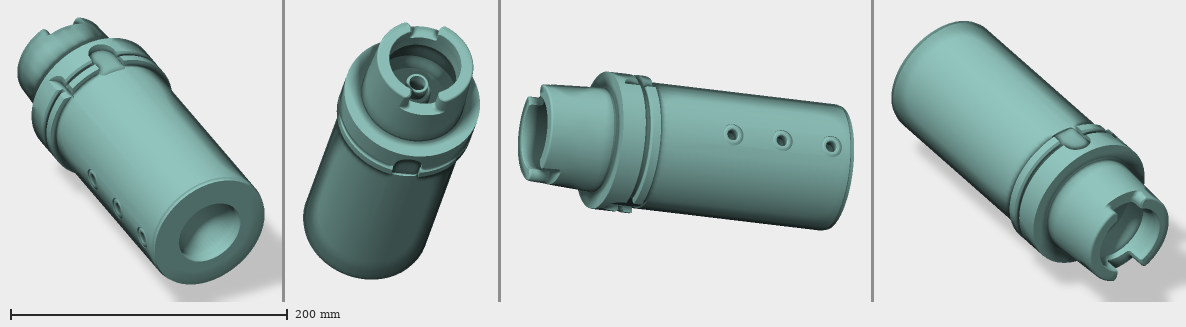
import cadquery as cq
import math

taper_length = 50.0
body_end = 180.0
taper_gauge_d = 75.0
taper_gauge_x = -10.0
taper_rate = 1.0 / 10.0
tip_round = 1.5
flange_d = 100.0
flange_width = 29.0
body_d = 92.0

relief_d = 75.3
relief_start = -2.6
relief_bevel = 0.6
relief_cone_length = 0.7
relief_rim_d = 79.0

grip_center = 20.1
grip_top_width = 5.8
grip_bottom_width = 3.5
grip_bevel_depth = 1.8

neck_d = 90.6
neck_end = 32.3
end_rim_length = 2.3
end_bevel_depth = 0.9

clamp_d = 53.0
clamp_mouth_d = 53.8
clamp_lip = 20.0
clamp_groove_d = 63.0
clamp_floor_d = 50.0
clamp_floor_x = 0.0

nut_d = 24.0
nut_height = 10.0
nut_chamfer = 1.1
tube_d = 16.0
tube_tip_d = 15.3
tube_height = 20.0
coolant_d = 12.0

tool_bore_d = 50.0
tool_bore_mouth_d = 50.4
tool_bore_depth = 120.0

drive_width = 20.0
drive_depth_top = 10.0
drive_depth_bottom = 15.0
drive_flare_radius = 5.0
drive_flare_z = 27.0
drive_floor_fillet = 2.2
drive_mouth_chamfer = 1.4

key_width = 20.0
key_start = 4.8
key_end = 34.0
key_corner = 3.5
key_floor_z = 44.0
notch_offset = 31.7

screw_first_x = 86.3
screw_pitch = 38.0
screw_count = 3
screw_d = 16.0
screw_face_d = 12.0
socket_mouth_d = 9.24
socket_d = 8.0
screw_recess = 0.4
screw_bevel = 1.0
socket_depth = 8.0
drill_point_angle = 118.0


def taper_radius(x):
    return taper_gauge_d / 2 + taper_rate / 2 * (x - taper_gauge_x)


def spin(profile):
    """Solid of revolution about X from a profile drawn in the XY plane as (x, radius)."""
    return profile.close().revolve(360, (0, 0, 0), (1, 0, 0))


def make_outer():
    tip_r = taper_radius(-taper_length)
    round_bend = tip_round * (1 - math.sqrt(0.5))
    relief_r = relief_d / 2
    flange_r = flange_d / 2
    body_r = body_d / 2
    neck_r = neck_d / 2
    rim_r = body_r - end_bevel_depth
    return spin(
        cq.Workplane("XY")
        .moveTo(-taper_length, 0)
        .lineTo(-taper_length, tip_r - tip_round)
        .threePointArc(
            (-taper_length + round_bend, tip_r - round_bend),
            (-taper_length + tip_round, taper_radius(-taper_length + tip_round)),
        )
        .lineTo(relief_start, taper_radius(relief_start))
        .lineTo(relief_start + relief_bevel, relief_r)
        .lineTo(-relief_cone_length, relief_r)
        .lineTo(0, relief_rim_d / 2)
        .lineTo(0, flange_r)
        .lineTo(grip_center - grip_top_width / 2, flange_r)
        .lineTo(grip_center - grip_bottom_width / 2, flange_r - grip_bevel_depth)
        .lineTo(grip_center - grip_bottom_width / 2, body_r)
        .lineTo(grip_center + grip_bottom_width / 2, body_r)
        .lineTo(grip_center + grip_bottom_width / 2, flange_r - grip_bevel_depth)
        .lineTo(grip_center + grip_top_width / 2, flange_r)
        .lineTo(flange_width, flange_r)
        .lineTo(flange_width, neck_r)
        .lineTo(neck_end, body_r)
        .lineTo(body_end - end_rim_length - end_bevel_depth, body_r)
        .lineTo(body_end - end_rim_length, rim_r)
        .lineTo(body_end, rim_r)
        .lineTo(body_end, 0)
    )


def make_clamping_bore():
    """Bore from the tip: lip, gripper groove and a conical run-out to the floor."""
    lip_end = -taper_length + clamp_lip
    mouth_chamfer = (clamp_mouth_d - clamp_d) / 2
    floor_cone = (clamp_groove_d - clamp_floor_d) / 2
    return spin(
        cq.Workplane("XY")
        .moveTo(-taper_length, 0)
        .lineTo(-taper_length, clamp_mouth_d / 2)
        .lineTo(-taper_length + mouth_chamfer, clamp_d / 2)
        .lineTo(lip_end, clamp_d / 2)
        .lineTo(lip_end, clamp_groove_d / 2)
        .lineTo(clamp_floor_x - floor_cone, clamp_groove_d / 2)
        .lineTo(clamp_floor_x, clamp_floor_d / 2)
        .lineTo(clamp_floor_x, 0)
    )


def make_coolant_tube():
    nut_top = clamp_floor_x - nut_height
    tube_top = clamp_floor_x - tube_height
    tube_chamfer = (tube_d - tube_tip_d) / 2
    return spin(
        cq.Workplane("XY")
        .moveTo(clamp_floor_x, 0)
        .lineTo(clamp_floor_x, nut_d / 2)
        .lineTo(nut_top + nut_chamfer, nut_d / 2)
        .lineTo(nut_top, nut_d / 2 - nut_chamfer)
        .lineTo(nut_top, tube_d / 2)
        .lineTo(tube_top + tube_chamfer, tube_d / 2)
        .lineTo(tube_top, tube_tip_d / 2)
        .lineTo(tube_top, 0)
    )


def make_through_bore():
    """Coolant passage along the whole axis, opening into the tool bore."""
    tube_top = clamp_floor_x - tube_height
    tool_chamfer = (tool_bore_mouth_d - tool_bore_d) / 2
    tool_floor_x = body_end - tool_bore_depth
    return spin(
        cq.Workplane("XY")
        .moveTo(tube_top, 0)
        .lineTo(tube_top, coolant_d / 2)
        .lineTo(tool_floor_x, coolant_d / 2)
        .lineTo(tool_floor_x, tool_bore_d / 2)
        .lineTo(body_end - tool_chamfer, tool_bore_d / 2)
        .lineTo(body_end, tool_bore_mouth_d / 2)
        .lineTo(body_end, 0)
    )


def drive_profile(half_width):
    """Slot section in the YZ plane at the tip, flaring in two arcs to flat shoulders."""
    r = drive_flare_radius
    bend = r * math.sqrt(0.5)
    top_z = drive_flare_z + r
    outside = taper_gauge_d / 2 + r
    return (
        cq.Workplane("YZ", origin=(-taper_length, 0, 0))
        .moveTo(-half_width, 0)
        .lineTo(half_width, 0)
        .lineTo(half_width, drive_flare_z)
        .threePointArc((half_width + r - bend, drive_flare_z + bend), (half_width + r, top_z))
        .lineTo(outside, top_z)
        .lineTo(outside, outside)
        .lineTo(-outside, outside)
        .lineTo(-outside, top_z)
        .lineTo(-half_width - r, top_z)
        .threePointArc((-half_width - r + bend, drive_flare_z + bend), (-half_width, drive_flare_z))
        .close()
    )


def make_drive_slot(depth):
    half_width = drive_width / 2
    slot = drive_profile(half_width).extrude(depth).faces(">X").edges().fillet(drive_floor_fillet)
    mouth = drive_profile(half_width + drive_mouth_chamfer).extrude(drive_mouth_chamfer, taper=45)
    return slot.union(mouth)


def make_keyway():
    """Milled pocket with a round front end and two small rear corners."""
    end_radius = key_width / 2
    round_center_x = key_start + end_radius
    straight_length = key_end - round_center_x
    cut_height = flange_d / 2
    base = cq.Workplane("XY", origin=(round_center_x, 0, key_floor_z))
    straight = (
        base.center(straight_length / 2, 0)
        .rect(straight_length, key_width)
        .extrude(cut_height)
        .edges("|Z and >X").fillet(key_corner)
    )
    return straight.union(base.circle(end_radius).extrude(cut_height))


def make_notch():
    """Keyway shape cut into the flange quadrant between -Y and +Z."""
    return make_keyway().translate((0, -notch_offset - key_width / 2, notch_offset - key_floor_z))


def make_screw_recess(x):
    """Screw hole sunk from -Y with a drilled socket in the screw face."""
    surface = body_d / 2
    face = surface - screw_recess
    socket_chamfer = (socket_mouth_d - socket_d) / 2
    socket_floor = face - socket_depth
    point = socket_d / 2 / math.tan(math.radians(drill_point_angle / 2))
    return (
        cq.Workplane("XY")
        .polyline([
            (0, -surface),
            (screw_d / 2, -surface),
            (screw_d / 2, -face + screw_bevel),
            (screw_face_d / 2, -face),
            (socket_mouth_d / 2, -face),
            (socket_d / 2, -face + socket_chamfer),
            (socket_d / 2, -socket_floor),
            (0, -socket_floor + point),
        ])
        .close()
        .revolve(360, (0, 0, 0), (0, 1, 0))
        .translate((x, 0, 0))
    )


holder = make_outer().cut(make_clamping_bore())
holder = holder.union(make_coolant_tube())
holder = holder.cut(make_through_bore())
holder = holder.cut(make_drive_slot(drive_depth_top))
holder = holder.cut(make_drive_slot(drive_depth_bottom).mirror("XY"))
holder = holder.cut(make_keyway())
holder = holder.cut(make_keyway().mirror("XY"))
holder = holder.cut(make_notch())
for index in range(screw_count):
    holder = holder.cut(make_screw_recess(screw_first_x + index * screw_pitch))

result = holder